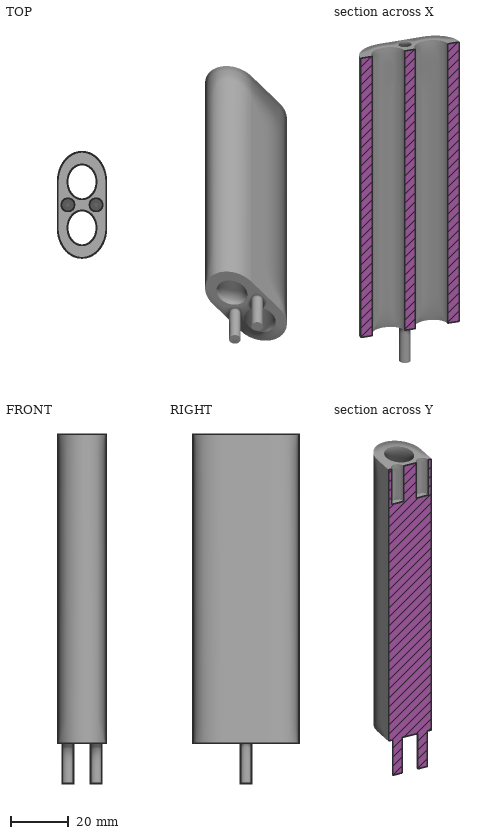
import cadquery as cq

body_width = 17.0
body_length = 37.0
total_height = 121.5
pin_length = 14.0
body_height = total_height - pin_length

passage_spacing = 16.0
passage_width = 10.0
passage_length = 12.0

pin_spacing = 9.8
pin_diameter = 4.0
socket_diameter = 4.6
socket_depth = pin_length

passage_centers = [(0, side * passage_spacing / 2) for side in (-1, 1)]
pin_centers = [(side * pin_spacing / 2, 0) for side in (-1, 1)]


def make_body():
    """Bar with flat sides and half-elliptical ends, drawn as one half and mirrored about the Y axis."""
    end_radius_x = body_width / 2
    end_radius_y = (body_length - passage_spacing) / 2
    return (
        cq.Workplane("XY")
        .moveTo(0, -body_length / 2)
        .ellipseArc(end_radius_x, end_radius_y, -90, 0)
        .lineTo(body_width / 2, passage_spacing / 2)
        .ellipseArc(end_radius_x, end_radius_y, 0, 90)
        .mirrorY()
        .extrude(body_height)
    )


def make_passages():
    """Elliptical columns that open the body from top to bottom."""
    return (
        cq.Workplane("XY")
        .pushPoints(passage_centers)
        .ellipse(passage_width / 2, passage_length / 2)
        .extrude(body_height)
    )


def make_sockets():
    """Blind round holes going down from the top face."""
    return (
        cq.Workplane("XY", origin=(0, 0, body_height))
        .pushPoints(pin_centers)
        .circle(socket_diameter / 2)
        .extrude(-socket_depth)
    )


def make_pins():
    """Round pins hanging from the bottom face."""
    return (
        cq.Workplane("XY")
        .pushPoints(pin_centers)
        .circle(pin_diameter / 2)
        .extrude(-pin_length)
    )


result = make_body().cut(make_passages()).cut(make_sockets()).union(make_pins())